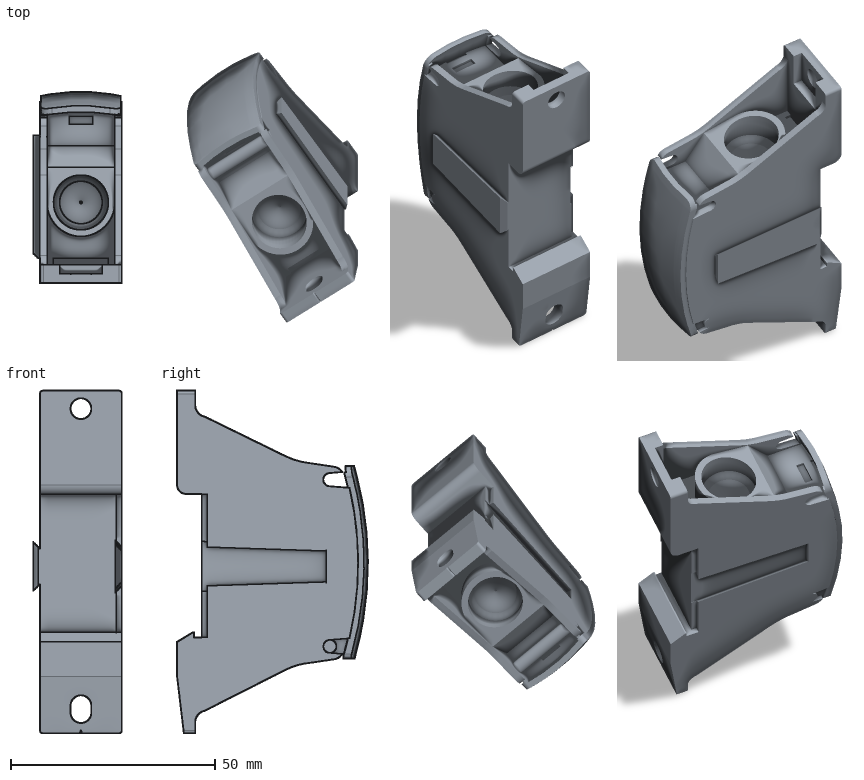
import cadquery as cq


width = 20.1
height = 84.0
depth_total = 46.9
mid_x = width / 2
mid_z = 41.75
wall = 1.8
beyond = 4.2

flange_y = 4.5
flange_corner_r = 0.75
hole_d = 5.0
hole_z = 79.55
slot_z = 6.0
slot_length = 6.7
seat_width = 10.4
seat_y = 2.3
foot_taper_z = 14.0
foot_taper_y = 1.7
notch_width = 0.5
notch_height = 0.75

rail_y = 6.05
rail_top_z = 58.6
rail_bottom_z = 23.5
rail_edge_r = 2.3
hook_tip_z = 24.8
hook_root_z = 22.4
hook_flat = 0.3
hook_y = 4.2
side_step = 1.35

shoulder_start = (flange_y, 80.05)
shoulder_mid = (5.2, 78.5)
shoulder_end = (6.8, 77.6)
slope_end = (26.55, 67.95)
lower_shoulder_shift = 0.3
nose_start = (32.85, 66.2)
nose_end = (38.5, 65.35)
nose_tip = (40.5, 64.0)

pin_y = 37.5
pin_z = 21.3
pin_r = 1.6
slot_mouth_y = 41.7
slot_mouth_half = 1.9
lug_inset = 1.0

floor_z = 62.2
ridge_y = 28.3
ridge_z = 66.9
ridge_fall = 0.16
platform_y = 33.6
platform_z = 59.7
boss_r = 8.3
bore_y = 19.7
bore_wall_r = 6.7
bore_seat_r = 5.2
bore_wall_end_z = 62.2
bore_seat_z = 60.65
bore_tip_z = 58.8
sight_hole_d = 0.5
floor_recess_width = 13.4
floor_recess_y = 6.1
floor_recess_depth = 0.8
catch_width = 5.7
catch_y = 38.9
catch_length = 1.9
catch_depth = 0.8
catch_notch_y = 42.6

dovetail_height = 1.7
dovetail_lead = 1.3
dovetail_z = 40.9
dovetail_near_half = 6.05
dovetail_far_half = 5.0
dovetail_end_y = 36.2
groove_clearance = 0.4

lid_thickness = 1.4
lid_pad_thickness = 0.4
lid_sag = 1.1
lid_radius = 83.75
lid_inset = 0.25
lid_bottom_z = 18.3
lid_top_z = 65.5
lid_top_corner_r = 2.7
lid_bottom_corner_r = 1.3


def block(x_range, y_range, z_range):
    """Box between the given coordinate pairs."""
    sizes = [high - low for low, high in (x_range, y_range, z_range)]
    return cq.Workplane("XY").box(*sizes, centered=False).translate((x_range[0], y_range[0], z_range[0]))


def centred(full_width):
    """X range of the given width about the middle of the housing."""
    return mid_x - full_width / 2, mid_x + full_width / 2


def prism(points, x_range=(0, width)):
    """Polygon of (Y, Z) points extruded along X."""
    profile = cq.Workplane("YZ", origin=(x_range[0], 0, 0)).polyline(points).close()
    return profile.extrude(x_range[1] - x_range[0])


def mirrored(shape):
    """Copy of a shape on the other side of the mid_z plane."""
    return shape.mirror("XY", (0, 0, mid_z))


def crowned_ring(inner_y, outer_y=None):
    """Crowned section swept about the lid axis; without outer_y it reaches past the lid."""
    section = cq.Workplane("XY", origin=(0, 0, mid_z)).moveTo(0, inner_y - lid_sag)
    section = section.threePointArc((mid_x, inner_y), (width, inner_y - lid_sag))
    if outer_y is None:
        section = section.lineTo(width, depth_total + beyond).lineTo(0, depth_total + beyond)
    else:
        section = section.lineTo(width, outer_y - lid_sag)
        section = section.threePointArc((mid_x, outer_y), (0, outer_y - lid_sag))
    axis_y = depth_total - lid_radius
    return section.close().revolve(360, (0, axis_y, 0), (1, axis_y, 0))


def behind_lid_limit():
    """Everything from the inner face of the lid outward."""
    return crowned_ring(depth_total - lid_thickness)


def raised(point, rise):
    """Point of a (Y, Z) outline moved along Z."""
    return point[0], point[1] + rise


def side_outline_half(shift=0.0):
    """Upper half of the housing side with the open hinge slot, its shoulder moved up by shift."""
    axis_z = 2 * mid_z - pin_z
    mouth_z = axis_z - slot_mouth_half
    return (
        cq.Workplane("YZ").moveTo(0, mid_z).lineTo(0, height + beyond)
        .lineTo(flange_y, height + beyond).lineTo(*raised(shoulder_start, shift))
        .threePointArc(raised(shoulder_mid, shift), raised(shoulder_end, shift))
        .lineTo(*slope_end).tangentArcPoint(nose_start, relative=False)
        .lineTo(*nose_end).tangentArcPoint(nose_tip, relative=False)
        .lineTo(pin_y, axis_z + pin_r)
        .threePointArc((pin_y - pin_r, axis_z), (pin_y, axis_z - pin_r))
        .lineTo(slot_mouth_y, mouth_z).lineTo(depth_total, mouth_z)
        .lineTo(depth_total, mid_z).close().extrude(width)
    )


def rail_recess():
    """Recess for the rail, with the hook below and the rounded edge above."""
    far_y = -beyond
    profile = (
        cq.Workplane("YZ").moveTo(far_y, rail_top_z + rail_edge_r).lineTo(0, rail_top_z + rail_edge_r)
        .radiusArc((rail_edge_r, rail_top_z), -rail_edge_r)
        .lineTo(rail_y, rail_top_z).lineTo(rail_y, rail_bottom_z).lineTo(hook_y, rail_bottom_z)
        .lineTo(hook_y, hook_tip_z).lineTo(hook_y - hook_flat, hook_tip_z)
        .lineTo(0, hook_root_z).lineTo(far_y, hook_root_z).close()
    )
    return profile.extrude(width)


def foot_taper():
    """Wedge removed from the rail face of the lower flange."""
    return prism([(0, foot_taper_z), (foot_taper_y, 0), (0, 0)])


def chamber():
    """Open space above the cable boss and the platform, between the side walls."""
    inside = (wall, width - wall)
    back_z = ridge_z + ridge_fall * (ridge_y - flange_y)
    top_z = height + beyond
    front_y = depth_total + beyond
    space = prism(
        [(flange_y, top_z), (flange_y, back_z), (ridge_y, ridge_z), (platform_y, platform_z),
         (front_y, platform_z), (front_y, top_z)], inside)
    boss = cq.Workplane("XY", origin=(mid_x, bore_y, 0)).circle(boss_r).extrude(top_z)
    well = block(inside, (flange_y, bore_y), (floor_z, top_z)).cut(boss)
    recess = block(centred(floor_recess_width), (flange_y, floor_recess_y),
                   (floor_z - floor_recess_depth, top_z))
    catch = block(centred(catch_width), (catch_y, catch_y + catch_length),
                  (platform_z - catch_depth, platform_z))
    edge_notch = block(centred(catch_width), (catch_notch_y, front_y),
                       (platform_z - catch_depth, platform_z))
    return space.union(well).union(recess).union(catch).union(edge_notch)


def cable_bore():
    """Round cable entry with a chamfered, shallow conical end and a fine hole to the housing middle."""
    hole_r = sight_hole_d / 2
    profile = cq.Workplane("XZ", origin=(mid_x, bore_y, 0)).polyline(
        [(0, mid_z), (hole_r, mid_z), (hole_r, bore_tip_z), (bore_seat_r, bore_seat_z),
         (bore_wall_r, bore_wall_end_z), (bore_wall_r, height), (0, height)])
    return profile.close().revolve(360, (0, 0, 0), (0, 1, 0))


def flange_openings():
    """Round hole with its screw head channel above, slotted hole and edge mark below."""
    hole = cq.Workplane("XZ").center(mid_x, hole_z).circle(hole_d / 2).extrude(-flange_y)
    slot = cq.Workplane("XZ").center(mid_x, slot_z).slot2D(slot_length, hole_d, 90).extrude(-flange_y)
    seat = block(centred(seat_width), (seat_y, flange_y), (hole_z - seat_width / 2, height))
    left, right = centred(notch_width)
    mark = cq.Workplane("XZ").polyline([(left, 0), (mid_x, notch_height), (right, 0)]).close()
    return hole.union(slot).union(seat).union(mark.extrude(-flange_y))


def dovetail(base_x, start_y, clearance=0.0):
    """Tapered dovetail standing out toward -X from base_x, widest at its outer face."""
    def section(y, half):
        outer = half + clearance
        root = outer - dovetail_height
        tip_x = base_x - dovetail_height
        return cq.Wire.makePolygon(
            [cq.Vector(base_x, y, dovetail_z - root), cq.Vector(tip_x, y, dovetail_z - outer),
             cq.Vector(tip_x, y, dovetail_z + outer), cq.Vector(base_x, y, dovetail_z + root)], close=True)
    ends = [section(start_y, dovetail_near_half), section(dovetail_end_y + clearance, dovetail_far_half)]
    return cq.Workplane(obj=cq.Solid.makeLoft(ends, True))


def rib():
    """Dovetail rib on the -X face with a sloped end at the recess."""
    tip_x = -dovetail_height
    lead = cq.Workplane("XY").polyline(
        [(tip_x, rail_y), (tip_x + dovetail_lead, rail_y), (tip_x, rail_y + dovetail_lead)])
    return dovetail(0, rail_y).cut(lead.close().extrude(height))


def make_housing():
    """Housing with both cable chambers, the rail recess and the dovetail pair."""
    body = side_outline_half().union(mirrored(side_outline_half(lower_shoulder_shift)))
    body = body.intersect(block((0, width), (0, depth_total), (0, height)))
    body = body.edges("|Y and (>Z or <Z)").fillet(flange_corner_r)
    body = body.cut(rail_recess()).cut(foot_taper())
    step = block((width - side_step, width), (rail_y, rail_y + side_step), (rail_bottom_z, rail_top_z))
    body = body.cut(step)
    cavity = chamber().union(cable_bore())
    body = body.cut(cavity).cut(mirrored(cavity))
    body = body.cut(flange_openings()).cut(behind_lid_limit())
    return body.union(rib()).cut(dovetail(width, rail_y, groove_clearance))


def make_pin():
    """Hinge pin running from side face to side face."""
    return cq.Workplane("YZ").center(pin_y, pin_z).circle(pin_r).extrude(width)


def hinge_lug(x_start):
    """Lug of the lid that fills the hinge slot between the lid and the pin."""
    mouth_z = pin_z + slot_mouth_half
    lower_z = 2 * mid_z - nose_tip[1]
    outline = [(pin_y, pin_z - pin_r), (nose_tip[0], lower_z), (depth_total, lower_z),
               (depth_total, mouth_z), (slot_mouth_y, mouth_z), (pin_y, pin_z + pin_r)]
    lug = prism(outline, (x_start, x_start + wall - lug_inset))
    return lug.cut(make_pin()).cut(behind_lid_limit())


def lid_frame():
    """Block with the rounded outline of the lid, reaching from the hinge axis past the crown."""
    frame = block((lid_inset, width - lid_inset), (pin_y, depth_total + beyond), (lid_bottom_z, lid_top_z))
    frame = frame.edges("|Y and >Z").fillet(lid_top_corner_r)
    return frame.edges("|Y and <Z").fillet(lid_bottom_corner_r)


def lid_pads(frame):
    """Thicker stretches of the lid over both side walls, from each slot mouth toward the lid end."""
    inner_y = depth_total - lid_thickness
    shell = crowned_ring(inner_y - lid_pad_thickness, inner_y).intersect(frame)
    lower_z = (lid_bottom_z, pin_z + slot_mouth_half)
    upper_z = (2 * mid_z - pin_z - slot_mouth_half, nose_tip[1])
    return [
        shell.intersect(block(x_range, (pin_y, depth_total), z_range))
        for x_range in ((0, wall), (width - wall, width))
        for z_range in (lower_z, upper_z)
    ]


def make_lid():
    """Crowned lid with its pads and the two hinge lugs."""
    frame = lid_frame()
    lid = crowned_ring(depth_total - lid_thickness, depth_total).intersect(frame)
    for x_start in (lug_inset, width - wall):
        lid = lid.union(hinge_lug(x_start))
    for pad in lid_pads(frame):
        lid = lid.union(pad)
    return lid


housing = make_housing()
lid = make_lid()
pin = make_pin()

result = cq.Compound.makeCompound([*housing.solids().vals(), *lid.solids().vals(), pin.val()])